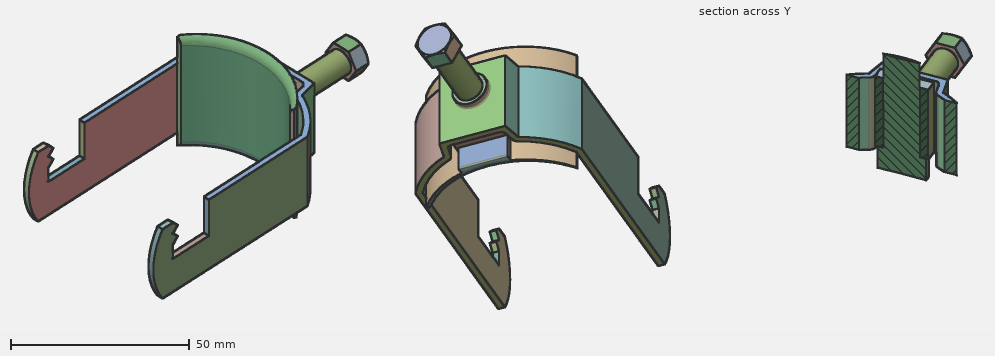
import cadquery as cq
import math


strap_thickness = 2.0
strap_width = 51.0
strap_height = 25.0
strap_mid_z = -3.0
leg_end_y = -80.0
crown_half_width = 10.1
shoulder_foot_x = 11.4
bow_radius = 29.7
bow_center_y = -33.6
crown_bend_radius = 1.5

slot_start_y = -57.8
slot_length = 14.4
slot_depth = 13.0
tooth_size = 2.0
tooth_count = 2
tip_land = 4.1

collar_diameter = 10.5
collar_height = 1.9
collar_root_radius = 0.3

overall_length = 106.42
bolt_z = -0.5
shank_diameter = 8.0
head_corner_diameter = 12.0
head_height = 5.5
head_end_y = leg_end_y + overall_length
head_chamfer_angle = 30.0
head_flat_diameter = 10.2

block_top_y = -5.5
block_width = 16.4
block_height = 24.2

saddle_width = 46.0
saddle_height = 40.0
saddle_outer_radius = 28.6
saddle_inner_radius = 28.2
saddle_top_y = -8.65
saddle_thickness = 2.65
saddle_end_y = -21.2
saddle_rim_radius = saddle_thickness
pad_top_y = -7.4
pad_width = 15.0
pad_corner_radius = 0.4

strap_bottom_z = strap_mid_z - strap_height / 2
strap_top_z = strap_mid_z + strap_height / 2
block_bottom_z = bolt_z - block_height / 2


def y_cylinder(diameter, y_low, y_high):
    """Round bar on the bolt axis between two Y positions."""
    plane = cq.Plane(origin=(0, y_low, bolt_z), xDir=(1, 0, 0), normal=(0, 1, 0))
    return cq.Workplane(plane).circle(diameter / 2).extrude(y_high - y_low)


def z_cylinder(radius, center_y):
    """Round bar along Z, as tall as the saddle."""
    return (
        cq.Workplane("XY", origin=(0, center_y, -saddle_height / 2))
        .circle(radius)
        .extrude(saddle_height)
    )


def bow_point(x):
    """Point on the outer bow of the strap at a given X."""
    return (x, bow_center_y + math.sqrt(bow_radius**2 - x**2))


def strap_envelope():
    """Solid filling everything inside the strap's outer face, running a little past the leg ends."""
    half = strap_width / 2
    bow_mid_x = (shoulder_foot_x + half) / 2
    open_end_y = leg_end_y - strap_thickness
    return (
        cq.Workplane("XY", origin=(0, 0, strap_bottom_z))
        .moveTo(-half, open_end_y)
        .lineTo(*bow_point(-half))
        .threePointArc(bow_point(-bow_mid_x), bow_point(-shoulder_foot_x))
        .lineTo(-crown_half_width, 0)
        .lineTo(crown_half_width, 0)
        .lineTo(*bow_point(shoulder_foot_x))
        .threePointArc(bow_point(bow_mid_x), bow_point(half))
        .lineTo(half, open_end_y)
        .close()
        .extrude(strap_height)
    )


def strap_cavity(envelope):
    """Space inside the strap: its envelope moved inward by the strap thickness."""
    outline = envelope.faces("<Z").wires().toPending().offset2D(-strap_thickness)
    cavity = outline.extrude(strap_height, combine=False)
    for side in (-1, 1):
        crown_bend = cq.selectors.NearestToPointSelector(
            (side * crown_half_width, -strap_thickness, strap_mid_z))
        cavity = cavity.edges("|Z").edges(crown_bend).fillet(crown_bend_radius)
    return cavity


def leg_side_profile():
    """Side profile of the legs across the full width: rounded tip and a slot with one toothed wall."""
    wall_y = slot_start_y - slot_length
    floor_z = strap_top_z - slot_depth
    points = [(slot_start_y, strap_top_z), (slot_start_y, floor_z), (wall_y, floor_z)]
    for tooth in reversed(range(tooth_count)):
        root_z = strap_top_z - 2 * tooth_size * (tooth + 1)
        points.append((wall_y, root_z))
        points.append((wall_y + tooth_size, root_z + tooth_size))
    points.append((wall_y, strap_top_z))
    slot = cq.Workplane("YZ").polyline(points).close().extrude(strap_width / 2, both=True)
    tip_start_y = wall_y - tip_land
    profile = (
        cq.Workplane("YZ")
        .moveTo(0, strap_top_z)
        .lineTo(tip_start_y, strap_top_z)
        .threePointArc((leg_end_y, strap_mid_z), (tip_start_y, strap_bottom_z))
        .lineTo(0, strap_bottom_z)
        .close()
        .extrude(strap_width / 2, both=True)
    )
    return profile.cut(slot)


def make_strap():
    """Bent strap with hooked legs and a raised collar around the bolt hole."""
    envelope = strap_envelope()
    strap = envelope.cut(strap_cavity(envelope)).intersect(leg_side_profile())
    strap = strap.union(y_cylinder(collar_diameter, -strap_thickness / 2, collar_height))
    root = cq.selectors.NearestToPointSelector((0, 0, bolt_z))
    strap = strap.edges("%CIRCLE").edges(root).fillet(collar_root_radius)
    return strap.cut(y_cylinder(shank_diameter, -strap_thickness, collar_height))


def make_bolt():
    """Hexagon-head bolt whose end rests on the thrust block."""
    head_plane = cq.Plane(
        origin=(0, head_end_y - head_height, bolt_z), xDir=(1, 0, 0), normal=(0, 1, 0))
    head = cq.Workplane(head_plane).polygon(6, head_corner_diameter).extrude(head_height)
    chamfer_width = (head_corner_diameter - head_flat_diameter) / 2
    chamfer_drop = chamfer_width * math.tan(math.radians(head_chamfer_angle))
    blank = y_cylinder(head_corner_diameter, head_end_y - head_height, head_end_y)
    blank = blank.faces(">Y").edges().chamfer(chamfer_drop, chamfer_width)
    shank = y_cylinder(shank_diameter, block_top_y, head_end_y - head_height)
    return head.intersect(blank).union(shank)


def make_block():
    """Flat-topped block hollowed to sit on the saddle."""
    depth = block_top_y - saddle_end_y
    block = cq.Workplane("XY").box(block_width, depth, block_height)
    block = block.translate((0, block_top_y - depth / 2, bolt_z))
    return block.cut(z_cylinder(saddle_outer_radius, saddle_top_y - saddle_outer_radius))


def saddle_rim_cutter(inner_center_y):
    """Ring that rounds the inside of the saddle's upper rim."""
    rim_z = saddle_height / 2
    start = rim_z - saddle_rim_radius
    inside_radius = saddle_inner_radius - saddle_rim_radius
    bend = saddle_rim_radius * (1 - math.sqrt(0.5))
    return (
        cq.Workplane("XZ", origin=(0, inner_center_y, 0))
        .moveTo(inside_radius, start)
        .lineTo(saddle_inner_radius, start)
        .threePointArc(
            (saddle_inner_radius + bend, rim_z - bend),
            (saddle_inner_radius + saddle_rim_radius, rim_z))
        .lineTo(inside_radius, rim_z)
        .close()
        .revolve(360, (0, 0, 0), (0, 1, 0))
    )


def make_saddle():
    """Curved trough with a pad below the block and rims rounded on the inside."""
    depth = -saddle_end_y
    inner_center_y = saddle_top_y - saddle_thickness - saddle_inner_radius
    saddle = cq.Workplane("XY").box(saddle_width, depth, saddle_height).translate((0, -depth / 2, 0))
    saddle = saddle.intersect(z_cylinder(saddle_outer_radius, saddle_top_y - saddle_outer_radius))
    pad_depth = pad_top_y - saddle_end_y
    pad_height = block_bottom_z + saddle_height / 2
    pad = cq.Workplane("XY").box(pad_width, pad_depth, pad_height)
    pad = pad.translate((0, pad_top_y - pad_depth / 2, block_bottom_z - pad_height / 2))
    pad = pad.edges(">Y and <Z").fillet(pad_corner_radius)
    saddle = saddle.union(pad).cut(z_cylinder(saddle_inner_radius, inner_center_y))
    upper_rim = saddle_rim_cutter(inner_center_y)
    return saddle.cut(upper_rim).cut(upper_rim.mirror("XY"))


strap = make_strap()
bolt = make_bolt()
block = make_block()
saddle = make_saddle()

result = cq.Compound.makeCompound([strap.val(), bolt.val(), block.val(), saddle.val()])